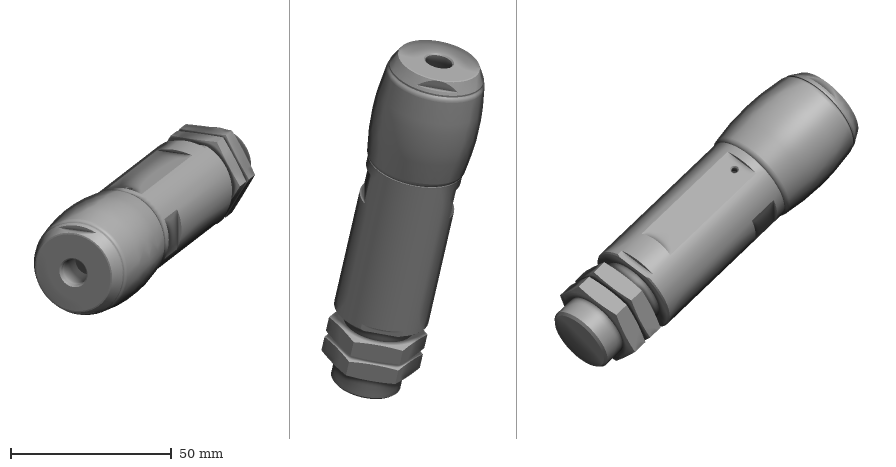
import cadquery as cq
import math

LENGTH = 116.0

CAP_LENGTH = 4.4
CAP_LIP = 0.6
CAP_FLAT_HALF = 13.0
CAP_FLAT_LENGTH = 2.9
CAP_EDGE_RADIAL = 0.5
CAP_EDGE_AXIAL = 0.1

SPIGOT_RADIUS = 10.2

BORE_RADIUS = 4.3
BORE_DEPTH = 11.6
BORE_CHAMFER = 0.5

SLEEVE_END = 37.0
SLEEVE_CROWN_RADIUS = 16.9
SLEEVE_SHOULDER_RADIUS = 15.7
SLEEVE_FACE_RADIUS = 14.5
SLEEVE_ROUNDING = 1.6
BULGE_RADIAL_SHARE = 0.65
BULGE_AXIAL_SHARE = 0.4

HOUSING_RADIUS = 30.0 / 2
HOUSING_END = 91.1
HOUSING_CHAMFER = 0.5
ACROSS_FLATS = 27.0
END_FLAT_LENGTH = 2.2
SIDE_FLAT_START = 40.4
SIDE_FLAT_LENGTH = 10.1

LABEL_START = 40.0
LABEL_END = 80.2
LABEL_HEIGHT = 13.8
LABEL_UNDERCUT = 0.6

VENT_Y = 43.5
VENT_RADIUS = 0.99
VENT_SINK_RADIUS = 1.4
VENT_DEPTH = 2.3

STUB_RADIUS = 11.0
STUB_CHAMFER = 0.8
NUT_THICKNESS = 6.0
NUT_GAP = 1.0
FIRST_NUT_START = 95.0
NUT_COUNT = 2
NUT_FACE_RADIUS = 12.9
NUT_CORNER_DROP = 0.6


def revolve_about_y(outline):
    """Turn a closed radius/length outline around the Y axis."""
    return outline.close().revolve(360, (0, 0, 0), (0, 1, 0))


def block(size_x, size_z, start_y, end_y, x=0.0, z=0.0):
    """Box centred on (x, z) that runs from start_y to end_y."""
    middle = (x, (start_y + end_y) / 2, z)
    return cq.Workplane("XY").box(size_x, end_y - start_y, size_z).translate(middle)


def make_bore():
    mouth = BORE_RADIUS + BORE_CHAMFER
    return revolve_about_y(
        cq.Workplane("XY")
        .moveTo(0, 0)
        .lineTo(mouth, 0)
        .lineTo(BORE_RADIUS, BORE_CHAMFER)
        .lineTo(BORE_RADIUS, BORE_DEPTH)
        .lineTo(0, BORE_DEPTH)
    )


def make_cap():
    cap = revolve_about_y(
        cq.Workplane("XY")
        .moveTo(0, 0)
        .lineTo(CAP_FLAT_HALF - CAP_EDGE_RADIAL, 0)
        .lineTo(CAP_FLAT_HALF, CAP_EDGE_AXIAL)
        .lineTo(HOUSING_RADIUS, CAP_LENGTH - CAP_LIP)
        .lineTo(HOUSING_RADIUS, CAP_LENGTH)
        .lineTo(SPIGOT_RADIUS, CAP_LENGTH)
        .lineTo(SPIGOT_RADIUS, SLEEVE_END)
        .lineTo(0, SLEEVE_END)
    )
    between_flats = block(2 * HOUSING_RADIUS, 2 * CAP_FLAT_HALF, 0, CAP_FLAT_LENGTH)
    behind_flats = block(2 * HOUSING_RADIUS, 2 * HOUSING_RADIUS, CAP_FLAT_LENGTH, SLEEVE_END)
    return cap.intersect(between_flats.union(behind_flats)).cut(make_bore())


def make_sleeve():
    front_shoulder = CAP_LENGTH + SLEEVE_ROUNDING
    rear_shoulder = SLEEVE_END - SLEEVE_ROUNDING
    middle = (CAP_LENGTH + SLEEVE_END) / 2
    rounding_height = SLEEVE_SHOULDER_RADIUS - SLEEVE_FACE_RADIUS
    bulge_radius = SLEEVE_FACE_RADIUS + BULGE_RADIAL_SHARE * rounding_height
    bulge_length = BULGE_AXIAL_SHARE * SLEEVE_ROUNDING
    return revolve_about_y(
        cq.Workplane("XY")
        .moveTo(SPIGOT_RADIUS, CAP_LENGTH)
        .lineTo(SLEEVE_FACE_RADIUS, CAP_LENGTH)
        .threePointArc(
            (bulge_radius, CAP_LENGTH + bulge_length),
            (SLEEVE_SHOULDER_RADIUS, front_shoulder),
        )
        .threePointArc((SLEEVE_CROWN_RADIUS, middle), (SLEEVE_SHOULDER_RADIUS, rear_shoulder))
        .threePointArc(
            (bulge_radius, SLEEVE_END - bulge_length),
            (SLEEVE_FACE_RADIUS, SLEEVE_END),
        )
        .lineTo(SPIGOT_RADIUS, SLEEVE_END)
    )


def make_label_recess():
    top = HOUSING_RADIUS
    return (
        cq.Workplane("YZ")
        .polyline([
            (LABEL_START, LABEL_HEIGHT),
            (LABEL_END, LABEL_HEIGHT),
            (LABEL_END - LABEL_UNDERCUT, top),
            (LABEL_START, top),
        ])
        .close()
        .extrude(HOUSING_RADIUS, both=True)
    )


def make_vent():
    sink_depth = VENT_SINK_RADIUS - VENT_RADIUS
    profile = (
        cq.Workplane("XZ")
        .polyline([
            (0, 0),
            (VENT_SINK_RADIUS, 0),
            (VENT_RADIUS, -sink_depth),
            (VENT_RADIUS, -VENT_DEPTH),
            (0, -VENT_DEPTH - VENT_RADIUS),
        ])
        .close()
    )
    return profile.revolve(360, (0, 0, 0), (0, 1, 0)).translate((0, VENT_Y, LABEL_HEIGHT))


def make_housing():
    housing = revolve_about_y(
        cq.Workplane("XY")
        .moveTo(0, SLEEVE_END)
        .lineTo(HOUSING_RADIUS, SLEEVE_END)
        .lineTo(HOUSING_RADIUS, HOUSING_END - HOUSING_CHAMFER)
        .lineTo(HOUSING_RADIUS - HOUSING_CHAMFER, HOUSING_END)
        .lineTo(STUB_RADIUS, HOUSING_END)
        .lineTo(STUB_RADIUS, LENGTH - STUB_CHAMFER)
        .lineTo(STUB_RADIUS - STUB_CHAMFER, LENGTH)
        .lineTo(0, LENGTH)
    )
    width = 2 * HOUSING_RADIUS
    flat_offset = ACROSS_FLATS / 2 + HOUSING_RADIUS
    for side in (-1, 1):
        end_flat = block(width, width, HOUSING_END - END_FLAT_LENGTH, HOUSING_END, z=side * flat_offset)
        side_flat = block(
            width, width, SIDE_FLAT_START, SIDE_FLAT_START + SIDE_FLAT_LENGTH, x=side * flat_offset
        )
        housing = housing.cut(end_flat).cut(side_flat)
    return housing.cut(make_label_recess()).cut(make_vent())


def make_nut(start_y):
    """Hexagon nut with flats facing up and down and both faces chamfered."""
    corner_radius = ACROSS_FLATS / 2 / math.cos(math.radians(30))
    hexagon = (
        cq.Workplane("XZ")
        .polygon(6, 2 * corner_radius)
        .circle(STUB_RADIUS)
        .extrude(-NUT_THICKNESS)
    )
    chamfer_envelope = revolve_about_y(
        cq.Workplane("XY")
        .moveTo(0, 0)
        .lineTo(NUT_FACE_RADIUS, 0)
        .lineTo(corner_radius, NUT_CORNER_DROP)
        .lineTo(corner_radius, NUT_THICKNESS - NUT_CORNER_DROP)
        .lineTo(NUT_FACE_RADIUS, NUT_THICKNESS)
        .lineTo(0, NUT_THICKNESS)
    )
    return hexagon.intersect(chamfer_envelope).translate((0, start_y, 0))


cap = make_cap()
sleeve = make_sleeve()
housing = make_housing()
nuts = [make_nut(FIRST_NUT_START + i * (NUT_THICKNESS + NUT_GAP)) for i in range(NUT_COUNT)]

result = cq.Compound.makeCompound([
    cap.val(),
    sleeve.val(),
    housing.val(),
    *[nut.val() for nut in nuts],
])